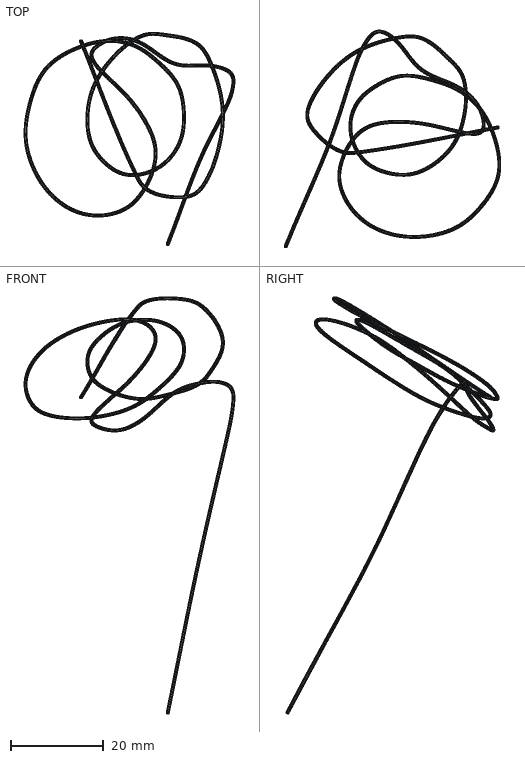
import cadquery as cq


WIRE_DIAMETER = 0.5
SWEEP_PIECES = 8

TAIL = [
    (0.0, 0.0, 0.0),
    (1.8, 4.7, 8.9),
    (7.7, 19.8, 37.3),
    (12.7, 29.8, 59.0),
    (14.1, 34.2, 66.7),
]

TAIL_BEND = [
    (13.3, 37.1, 70.4),
    (11.1, 38.1, 71.3),
    (7.2, 38.5, 71.1),
    (2.6, 38.6, 69.7),
    (-1.7, 40.6, 66.5),
]

BACK_HOOK = [
    (-6.9, 43.8, 62.3),
    (-10.2, 44.4, 61.0),
    (-14.9, 42.9, 61.6),
    (-16.2, 41.6, 62.4),
    (-14.2, 37.2, 66.1),
    (-9.2, 32.3, 70.6),
    (-4.4, 25.7, 76.2),
]

LARGE_LOOP = [
    (-2.6, 19.9, 80.4),
    (-5.2, 11.6, 84.1),
    (-8.1, 8.3, 84.8),
    (-17.0, 6.3, 83.5),
    (-24.3, 9.9, 80.2),
    (-29.1, 16.8, 75.5),
    (-30.6, 23.0, 71.4),
    (-29.6, 30.6, 67.1),
    (-26.2, 37.8, 64.4),
    (-19.1, 42.4, 63.5),
    (-12.5, 43.8, 64.3),
]

SMALL_LOOP = [
    (-8.1, 43.1, 65.7),
    (-1.8, 39.0, 70.0),
    (2.2, 34.2, 74.2),
    (3.5, 28.1, 77.9),
    (2.5, 21.7, 81.6),
    (-3.1, 15.9, 84.6),
    (-9.0, 15.0, 84.2),
    (-13.4, 17.4, 81.9),
    (-16.5, 21.8, 78.6),
    (-17.3, 27.3, 75.4),
    (-15.6, 34.7, 71.4),
    (-12.3, 39.6, 69.3),
]

UPPER_LOOP = [
    (-7.9, 43.6, 67.9),
    (-4.4, 45.2, 67.7),
    (-0.7, 45.1, 68.4),
    (6.8, 42.8, 71.0),
    (9.3, 38.9, 73.7),
    (11.9, 27.1, 80.0),
    (10.9, 20.4, 83.3),
    (8.5, 14.0, 86.6),
    (5.4, 10.6, 88.7),
    (1.8, 10.1, 89.3),
    (-5.3, 12.5, 88.4),
]

END_LEG = [
    (-6.8, 14.9, 87.0),
    (-9.3, 20.3, 83.7),
    (-11.5, 25.5, 80.3),
    (-18.7, 43.8, 68.0),
]


def make_centreline():
    """One smooth curve through every stretch of the wire."""
    points = TAIL + TAIL_BEND + BACK_HOOK + LARGE_LOOP + SMALL_LOOP + UPPER_LOOP + END_LEG
    return cq.Edge.makeSpline([cq.Vector(*point) for point in points])


def split_curve(curve, count):
    """Path of tangent pieces that together retrace the curve."""
    start = curve.paramAt(0)
    step = (curve.paramAt(1) - start) / count
    pieces = []
    for index in range(count):
        piece_start = start + index * step
        pieces.append(curve.trim(piece_start, piece_start + step))
    return cq.Wire.assembleEdges(pieces)


def make_wire(centreline):
    """Round wire swept along the centreline, with flat ends square to it."""
    path = split_curve(centreline, SWEEP_PIECES)
    start_plane = cq.Plane(origin=centreline.startPoint(), normal=centreline.tangentAt(0))
    section = cq.Workplane(start_plane).circle(WIRE_DIAMETER / 2)
    return section.sweep(cq.Workplane(obj=path))


result = make_wire(make_centreline())